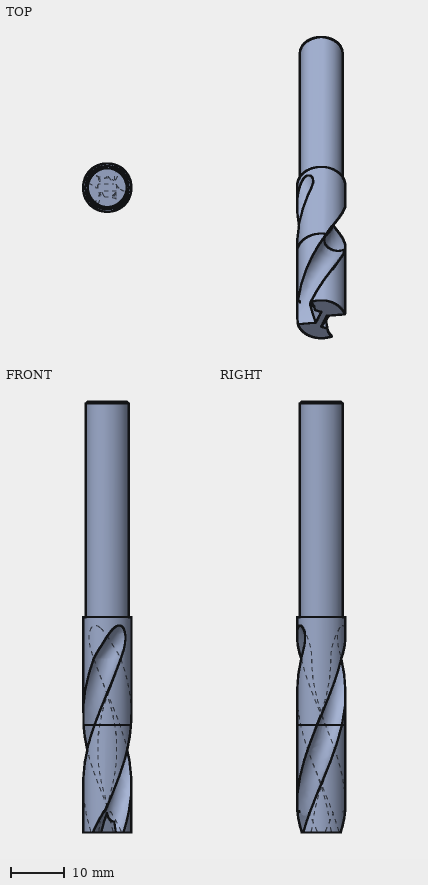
import cadquery as cq
import math

total_length = 80.0
shank_diameter = 8.0
shank_chamfer = 0.4
cutter_diameter = shank_diameter * 9 / 8
cutter_radius = cutter_diameter / 2
neck_top = 40.0
head_length = 20.0

flute_count = 2
flute_lead = 67.5
flute_top = 32.3
flute_half_opening = math.radians(34)
core_radius = 1.8
runout_height = 6.2
runout_drift = 3.2
runout_rise = 1.9
runout_shrink = 0.6
runout_sections = 6

gash_height = 4.0
gash_outer_heel_foot = -3.5
gash_outer_heel_top = -0.8
gash_inner_heel_foot = -1.1
gash_inner_heel_top = 0.6
gash_rake_foot = 1.6
gash_rake_top = 1.0
gash_inner_end = 0.6
gash_floor_top = 2.4

rim_x = cutter_radius * math.sin(flute_half_opening)
flute_depth = cutter_radius * math.cos(flute_half_opening) - core_radius
flute_radius = (rim_x**2 + flute_depth**2) / (2 * flute_depth)
flute_center_y = -(core_radius + flute_radius)


def turned(shape, index):
    """Place a cutter at its flute position around the axis."""
    return shape.rotate((0, 0, 0), (0, 0, 1), index * 360 / flute_count)


def make_helical_flute():
    twist = 360 * flute_top / flute_lead
    flute = (
        cq.Workplane("XY")
        .moveTo(0, flute_center_y)
        .circle(flute_radius)
        .twistExtrude(flute_top, twist)
    )
    return flute.rotate((0, 0, 0), (0, 0, 1), -twist)


def make_runout():
    """Loft of shrinking circles that drift sideways evenly and rise outward along a parabola."""
    sections = []
    for step in range(runout_sections):
        travel = step / (runout_sections - 2)
        radius = flute_radius - runout_shrink * travel
        center = cq.Vector(
            runout_drift * travel,
            -core_radius - runout_rise * travel**2 - radius,
            flute_top + runout_height * travel,
        )
        sections.append(cq.Wire.makeCircle(radius, center, cq.Vector(0, 0, 1)))
    return cq.Workplane(obj=cq.Solid.makeLoft(sections))


def gash_outline(heel_foot, heel_top):
    return [
        (heel_foot, 0),
        (gash_rake_foot, 0),
        (gash_rake_top, gash_height),
        (heel_top, gash_height),
    ]


def make_gash():
    """Wedge that widens outward and has a floor sloping away from the axis."""
    wedge = (
        cq.Workplane("XZ", origin=(0, -gash_inner_end, 0))
        .polyline(gash_outline(gash_inner_heel_foot, gash_inner_heel_top))
        .close()
        .workplane(offset=cutter_radius)
        .polyline(gash_outline(gash_outer_heel_foot, gash_outer_heel_top))
        .close()
        .loft(ruled=True)
    )
    reach = gash_inner_end + cutter_radius
    floor_profile = (
        cq.Workplane("YZ")
        .moveTo(-gash_inner_end, 0)
        .lineTo(-gash_floor_top, gash_height)
        .lineTo(-reach, gash_height)
        .lineTo(-reach, 0)
        .close()
        .extrude(cutter_radius, both=True)
    )
    return wedge.intersect(floor_profile)


def cut_flutes(body):
    flute = make_helical_flute()
    runout = make_runout()
    for index in range(flute_count):
        body = body.cut(turned(flute, index)).cut(turned(runout, index))
    return body


def make_cutting_head():
    head = cut_flutes(cq.Workplane("XY").circle(cutter_radius).extrude(head_length))
    gash = make_gash()
    for index in range(flute_count):
        head = head.cut(turned(gash, index))
    return head


def make_shank_body():
    neck = (
        cq.Workplane("XY", origin=(0, 0, head_length))
        .circle(cutter_radius)
        .extrude(neck_top - head_length)
    )
    shank = (
        cq.Workplane("XY", origin=(0, 0, neck_top))
        .circle(shank_diameter / 2)
        .extrude(total_length - neck_top)
        .faces(">Z")
        .chamfer(shank_chamfer)
    )
    return cut_flutes(neck.union(shank))


cutting_head = make_cutting_head()
shank_body = make_shank_body()
result = cq.Compound.makeCompound([cutting_head.val(), shank_body.val()])